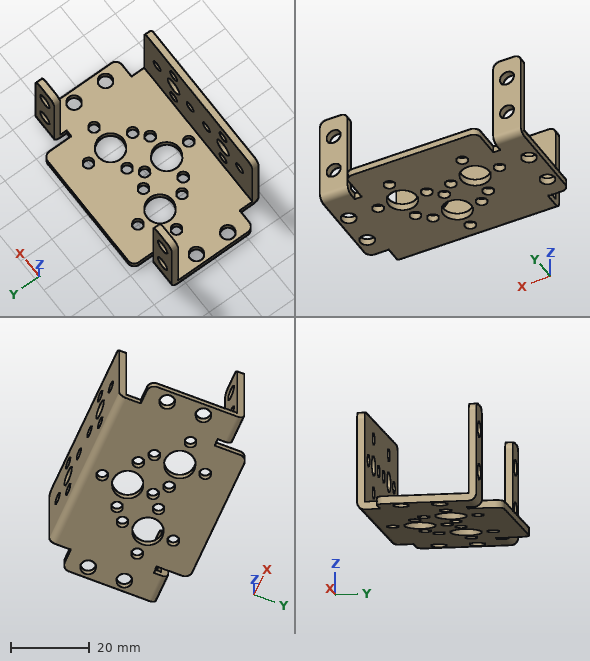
import cadquery as cq
import math

thickness = 2.0
corner_radius = 2.0

width = 58.0
depth = 37.0
height = 25.5

front_wall_width = 46.0
ear_front_y = 6.0
tab_width = 8.0
tab_outer_y = 32.0
relief_slot_width = 2.0
relief_slot_depth = 2.0
rear_tongue_width = width - 2 * (tab_width + relief_slot_width)
tab_inner_y = tab_outer_y - thickness
slot_front_y = tab_inner_y - relief_slot_depth
tab_center_x = (width - tab_width) / 2

mount_diameter = 4.0
screw_diameter = 3.0
screw_circle_radius = 7.0
floor_opening_diameter = 8.0
wall_opening_diameter = 5.0
pattern_x = 10.5
front_row_y = 12.0
rear_row_y = 22.0
ear_hole_x = 26.0
tab_hole_spacing = 11.0
wall_hole_z = (height + thickness) / 2


def make_floor():
    """Flat plate with two front ears, a rounded rear tongue and a relief slot beside each tab."""
    half_width = width / 2
    half_wall = front_wall_width / 2
    half_tongue = rear_tongue_width / 2
    slot_outer_x = half_tongue + relief_slot_width
    right_half = (
        cq.Workplane("XY")
        .moveTo(0, thickness)
        .lineTo(half_wall, thickness)
        .lineTo(half_wall, ear_front_y)
        .lineTo(half_width - corner_radius, ear_front_y)
        .radiusArc((half_width, ear_front_y + corner_radius), -corner_radius)
        .lineTo(half_width, tab_inner_y)
        .lineTo(slot_outer_x, tab_inner_y)
        .lineTo(slot_outer_x, slot_front_y)
        .lineTo(half_tongue, slot_front_y)
        .lineTo(half_tongue, depth - corner_radius)
        .radiusArc((half_tongue - corner_radius, depth), -corner_radius)
        .lineTo(0, depth)
        .close()
        .extrude(thickness)
    )
    return right_half.union(right_half.mirror("YZ"))


def make_wall(wall_width, center_x, inner_y, outer_y):
    """Upright wall whose lower outer edge is the rounded outside of its fold."""
    fold_offset = (outer_y - inner_y) * math.sin(math.radians(45))
    fold_mid = (inner_y + fold_offset, thickness * (1 - math.cos(math.radians(45))))
    return (
        cq.Workplane("YZ")
        .moveTo(inner_y, 0)
        .threePointArc(fold_mid, (outer_y, thickness))
        .lineTo(outer_y, height)
        .lineTo(inner_y, height)
        .close()
        .extrude(wall_width / 2, both=True)
        .edges("|Y and >Z")
        .fillet(corner_radius)
        .translate((center_x, 0, 0))
    )


def screw_circle_points(center_x, center_v):
    """Four screw positions around a central opening."""
    r = screw_circle_radius
    offsets = [(r, 0), (0, r), (-r, 0), (0, -r)]
    return [(center_x + dx, center_v + dv) for dx, dv in offsets]


def floor_cutter(points, diameter):
    """Vertical cylinders through the floor at (x, y) points."""
    return cq.Workplane("XY").pushPoints(points).circle(diameter / 2).extrude(thickness)


def wall_cutter(points, diameter, rear_face_y):
    """Cylinders along Y through one wall thickness at (x, z) points."""
    plane = cq.Workplane("XZ", origin=(0, rear_face_y, 0))
    return plane.pushPoints(points).circle(diameter / 2).extrude(thickness)


result = make_floor().union(make_wall(front_wall_width, 0, thickness, 0))
for side in (-1, 1):
    result = result.union(make_wall(tab_width, side * tab_center_x, tab_inner_y, tab_outer_y))

floor_centers = [(-pattern_x, rear_row_y), (pattern_x, rear_row_y), (0, front_row_y)]
result = result.cut(floor_cutter(floor_centers, floor_opening_diameter))
for x, y in floor_centers:
    result = result.cut(floor_cutter(screw_circle_points(x, y), screw_diameter))

ear_holes = [(side * ear_hole_x, y) for side in (-1, 1) for y in (front_row_y, rear_row_y)]
result = result.cut(floor_cutter(ear_holes, mount_diameter))

wall_centers = [(-pattern_x, wall_hole_z), (pattern_x, wall_hole_z)]
result = result.cut(wall_cutter(wall_centers, wall_opening_diameter, thickness))
for x, z in wall_centers:
    result = result.cut(wall_cutter(screw_circle_points(x, z), screw_diameter, thickness))

tab_holes = [
    (side * tab_center_x, wall_hole_z + end * tab_hole_spacing / 2)
    for side in (-1, 1)
    for end in (-1, 1)
]
result = result.cut(wall_cutter(tab_holes, mount_diameter, tab_outer_y))